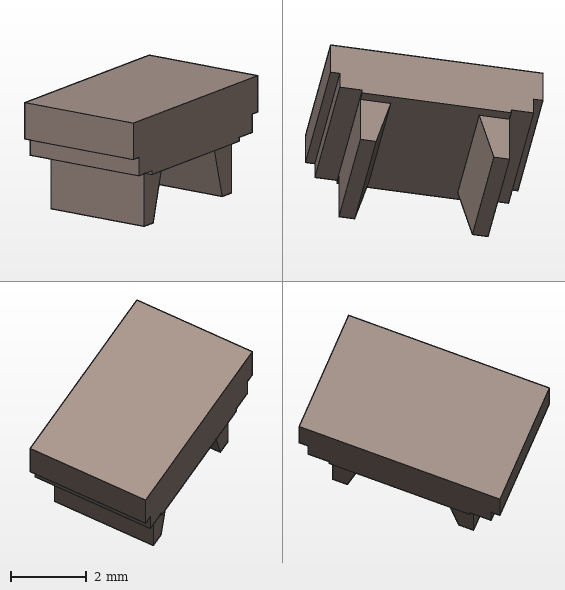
import cadquery as cq

width = 3.5
total_height = 3.06

top_length = 5.7
top_thickness = 1.0
middle_length = 5.2
middle_thickness = 0.5
base_length = 4.0
base_thickness = 0.1

leg_width = 3.0
leg_root = 0.815
leg_tip = 0.42

middle_top = total_height - top_thickness
base_top = middle_top - middle_thickness
leg_height = base_top - base_thickness


def slab(length, thickness, top_z):
    """Full-width slab centred in X and Y, hanging down from top_z."""
    bottom_z = top_z - thickness
    return cq.Workplane("XY").workplane(offset=bottom_z).rect(width, length).extrude(thickness)


def leg(side):
    """Leg with an upright outer face and a sloping inner face, at the +Y or -Y end."""
    outer = base_length / 2
    outline = [
        (side * outer, 0),
        (side * outer, leg_height),
        (side * (outer - leg_root), leg_height),
        (side * (outer - leg_tip), 0),
    ]
    return cq.Workplane("YZ").polyline(outline).close().extrude(leg_width / 2, both=True)


result = slab(top_length, top_thickness, total_height)
result = result.union(slab(middle_length, middle_thickness, middle_top))
result = result.union(slab(base_length, base_thickness, base_top))
for side in (-1, 1):
    result = result.union(leg(side))